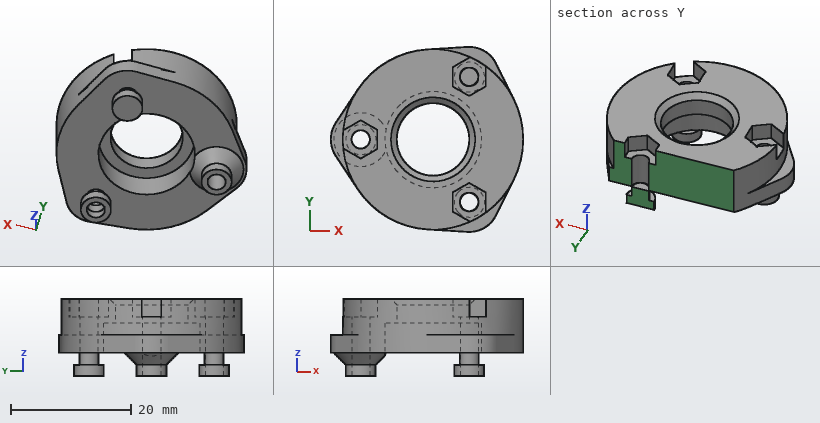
import cadquery as cq
import math

body_diameter = 30.0
body_height = 9.0
bore_diameter = 12.0
bore_chamfer = 1.0
counterbore_diameter = 16.0
counterbore_depth = 5.0

lug_circle_radius = 12.0
lug_radius = 5.0
lug_height = 3.0
conical_foot_angle = 180
open_neck_angle = -60
closed_neck_angle = 60
lug_angles = (conical_foot_angle, open_neck_angle, closed_neck_angle)

nut_across_flats = 5.5
nut_side = nut_across_flats / math.sqrt(3)
hexagon_turn = 30
pocket_depth = 3.0
pocket_floor = body_height - pocket_depth
hole_diameter = 3.0

neck_height = 2.0
neck_wall = 0.1
neck_diameter = hole_diameter + 2 * neck_wall
foot_diameter = 5.0
foot_height = 1.85
foot_bottom = -neck_height - foot_height
cone_top_radius = foot_diameter / 2 + neck_height


def cylinder(diameter, bottom, height, x=0):
    """Vertical cylinder with its axis on the X axis of the plan."""
    return cq.Workplane("XY", origin=(x, 0, bottom)).circle(diameter / 2).extrude(height)


def at_angle(shape, angle):
    """Turn a shape built on the +X side to its lug position."""
    return shape.rotate((0, 0, 0), (0, 0, 1), angle)


def make_lug():
    """Rounded lug whose straight sides are tangent to the body and to its tip."""
    body_radius = body_diameter / 2
    tangent_angle = math.acos((body_radius - lug_radius) / lug_circle_radius)
    ux = math.cos(tangent_angle)
    uy = math.sin(tangent_angle)
    tip_x = lug_circle_radius + lug_radius * ux
    return (
        cq.Workplane("XY")
        .moveTo(0, 0)
        .lineTo(body_radius * ux, -body_radius * uy)
        .lineTo(tip_x, -lug_radius * uy)
        .threePointArc((lug_circle_radius + lug_radius, 0), (tip_x, lug_radius * uy))
        .lineTo(body_radius * ux, body_radius * uy)
        .close()
        .extrude(lug_height)
    )


def make_nut_pocket():
    """Hexagonal pocket, open outward through the rim over one hexagon side."""
    hexagon = (
        cq.Workplane("XY", origin=(lug_circle_radius, 0, pocket_floor))
        .transformed(rotate=(0, 0, hexagon_turn))
        .polygon(6, 2 * nut_side)
        .extrude(pocket_depth)
    )
    rim_opening = (
        cq.Workplane("XY", origin=(lug_circle_radius, 0, pocket_floor))
        .rect(lug_radius, nut_side, centered=(False, True))
        .extrude(pocket_depth)
    )
    return hexagon.union(rim_opening)


def make_foot(conical):
    """Round foot joined to the lug by a cone or by a straight neck."""
    foot = cylinder(foot_diameter, foot_bottom, foot_height, lug_circle_radius)
    if conical:
        joint = (
            cq.Workplane("XY", origin=(lug_circle_radius, 0, -neck_height))
            .circle(foot_diameter / 2)
            .workplane(offset=neck_height)
            .circle(cone_top_radius)
            .loft(ruled=True)
        )
    else:
        joint = cylinder(neck_diameter, -neck_height, neck_height, lug_circle_radius)
    return foot.union(joint)


result = cylinder(body_diameter, 0, body_height).faces(">Z").workplane().hole(bore_diameter)
result = result.faces(">Z").edges("%CIRCLE").edges(cq.selectors.RadiusNthSelector(0)).chamfer(bore_chamfer)
for angle in lug_angles:
    result = result.union(at_angle(make_lug(), angle))
    result = result.union(at_angle(make_foot(angle == conical_foot_angle), angle))

result = result.cut(cylinder(counterbore_diameter, foot_bottom, counterbore_depth - foot_bottom))

for angle in lug_angles:
    hole_bottom = 0 if angle == closed_neck_angle else foot_bottom
    hole = cylinder(hole_diameter, hole_bottom, pocket_floor - hole_bottom, lug_circle_radius)
    result = result.cut(at_angle(make_nut_pocket(), angle))
    result = result.cut(at_angle(hole, angle))